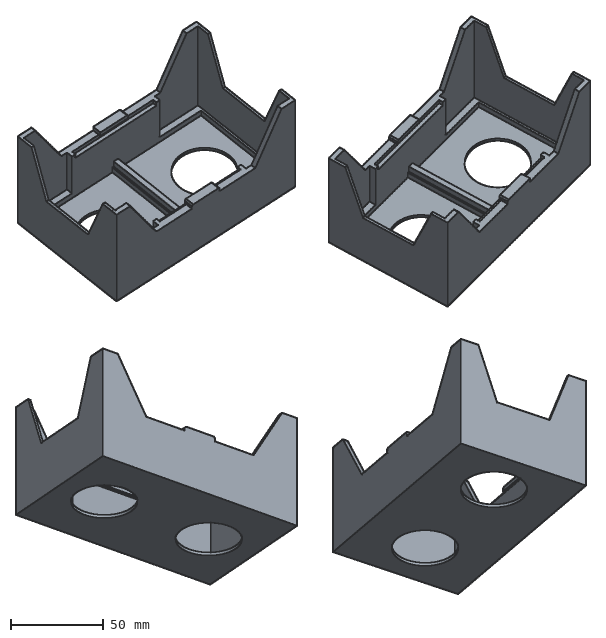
import cadquery as cq

width = 80.0
length = 130.0
height = 67.0
rim_height = 34.2
floor_thickness = 2.0

side_wall = 7.2
end_ledge = 3.1
plinth_width = 5.2
bar_width = 3.2
bar_top = 9.8

corner_side_wall = 3.1
end_wall = 1.7
corner_length = 33.0
ledge_height = 5.7

step_wall = 4.5
step_start = 35.6
step_depth = 2.6

end_post_top = 11.2
end_post_base = 23.1
side_post_top = 10.0
side_post_base = 29.1

tab_length = 20.3
tab_width = 5.8
tab_height = 2.7
tab_chamfer = 0.9

hole_diameter = 36.0
hole_from_end = 30.0

cavity_width = width - 2 * side_wall


def block(size_x, size_y, bottom, top):
    """Block centred on the Z axis between two heights."""
    return cq.Workplane("XY").workplane(offset=bottom).rect(size_x, size_y).extrude(top - bottom)


def opening(plane, span, post_top, post_base, depth):
    """Tapered opening cut from the rim to the top, right through the part."""
    half_top = span / 2 - post_top
    half_base = span / 2 - post_base
    outline = [(-half_base, rim_height), (half_base, rim_height), (half_top, height), (-half_top, height)]
    return cq.Workplane(plane).polyline(outline).close().extrude(depth / 2, both=True)


def make_shell():
    shell = block(width, length, 0, height)
    shell = shell.cut(block(cavity_width, length - 2 * end_ledge, floor_thickness, height))
    pocket_width = width - 2 * corner_side_wall
    pocket_length = corner_length - end_wall
    for side in (-1, 1):
        pocket = block(pocket_width, pocket_length, ledge_height, height)
        shell = shell.cut(pocket.translate((0, side * (length / 2 - end_wall - pocket_length / 2), 0)))
    step = block(width - 2 * step_wall, length - 2 * step_start, rim_height - step_depth, height)
    shell = shell.cut(step)
    shell = shell.cut(opening("XZ", width, end_post_top, end_post_base, length))
    return shell.cut(opening("YZ", length, side_post_top, side_post_base, width))


def make_bar():
    plinth = block(cavity_width, plinth_width, floor_thickness, ledge_height)
    return plinth.union(block(cavity_width, bar_width, floor_thickness, bar_top))


def make_tab(side, chamfered_edges):
    """Tab on the -X rim (side -1) or the +X rim (side 1)."""
    tab = block(tab_width, tab_length, rim_height, rim_height + tab_height)
    tab = tab.edges(chamfered_edges).chamfer(tab_chamfer)
    return tab.translate((side * (width - tab_width) / 2, 0, 0))


left_tab = make_tab(-1, ">Y and >Z")
right_tab = make_tab(1, "|X and >Z")

hole_offset = length / 2 - hole_from_end
holes = (
    cq.Workplane("XY")
    .pushPoints([(0, -hole_offset), (0, hole_offset)])
    .circle(hole_diameter / 2)
    .extrude(floor_thickness)
)

result = make_shell().union(make_bar()).union(left_tab).union(right_tab).cut(holes)